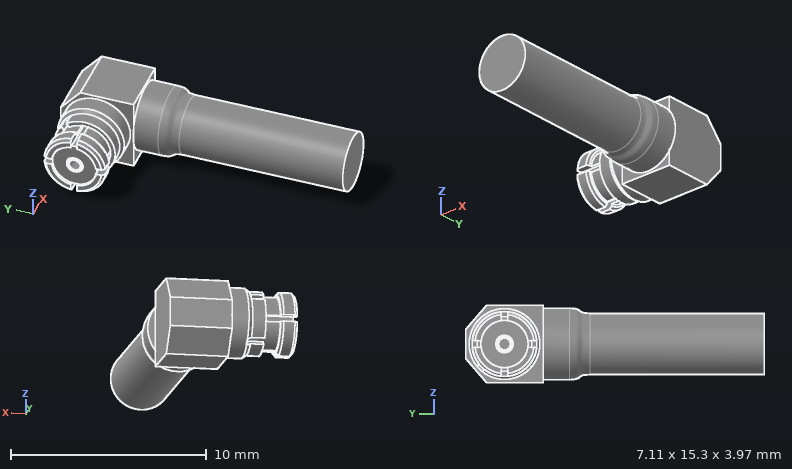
import cadquery as cq


block_start_x = 3.5
block_end_x = 6.71
block_size = 3.97
half_block = block_size / 2
block_bevel_y = 1.07
block_bevel_z = 1.24

overall_length_x = 7.11
overall_length_y = 15.26
ferrule_radius = 3.68 / 2
cable_radius = 3.15 / 2
cable_axis_x = overall_length_x - ferrule_radius
ferrule_length = 1.33
neck_down_length = 1.05
neck_down_pull = 0.7 * neck_down_length
cable_start_y = -half_block
cable_end_y = half_block - overall_length_y
ferrule_end_y = cable_start_y - ferrule_length
neck_down_end_y = ferrule_end_y - neck_down_length

flange_radius = 3.3 / 2
rim_radius = 3.33 / 2
sleeve_radius = 2.8 / 2
collar_radius = 3.62 / 2
bore_radius = 2.41 / 2
rim_chamfer = 0.15
rim_back_bevel = 0.14
rim_end_x = 0.87
flange_start_x = 1.66
flange_end_x = 2.35
collar_start_x = 2.58

slot_width = 0.34
slot_count = 4
slot_end_x = flange_end_x
notch_width = 0.38
upper_notch_angle = 45
lower_notch_angle = -45

insulator_start_x = 0.15
contact_hole_radius = 0.89 / 2
contact_radius = 0.76 / 2
contact_bore_radius = 0.61 / 2
contact_hole_depth = flange_start_x - insulator_start_x
contact_bore_depth = contact_hole_depth / 2


def x_cylinder(radius, start_x, end_x):
    """Solid cylinder on the plug axis."""
    return cq.Workplane("YZ").workplane(offset=start_x).circle(radius).extrude(end_x - start_x)


def radial_cutter(start_x, end_x, width, angle):
    """Box reaching outward from the plug axis, turned about the plug axis from +Y."""
    length = end_x - start_x
    cutter = cq.Workplane("XY").box(length, collar_radius, width, centered=(False, False, True))
    cutter = cutter.translate((start_x, 0, 0))
    return cutter.rotate((0, 0, 0), (1, 0, 0), angle)


def make_block():
    """Square elbow block with both edges of its +Y end bevelled."""
    outline = [
        (-half_block, -half_block),
        (half_block - block_bevel_y, -half_block),
        (half_block, block_bevel_z - half_block),
        (half_block, half_block - block_bevel_z),
        (half_block - block_bevel_y, half_block),
        (-half_block, half_block),
    ]
    profile = cq.Workplane("YZ").workplane(offset=block_start_x).polyline(outline).close()
    return profile.extrude(block_end_x - block_start_x)


def make_collar():
    """Hollow stepped collar with two notches, the lower one running on through the cone."""
    outline = [
        (flange_start_x, sleeve_radius),
        (flange_start_x, flange_radius),
        (flange_end_x, flange_radius),
        (collar_start_x, collar_radius),
        (block_start_x, collar_radius),
        (block_start_x, sleeve_radius),
    ]
    collar = cq.Workplane("XY").polyline(outline).close().revolve(360, (0, 0, 0), (1, 0, 0))
    for angle, end_x in ((upper_notch_angle, flange_end_x), (lower_notch_angle, collar_start_x)):
        collar = collar.cut(radial_cutter(flange_start_x, end_x, notch_width, angle))
    return collar


def make_housing():
    """Elbow block and plug collar in one piece."""
    return make_block().union(make_collar())


def make_cable():
    """Ferrule that necks down smoothly to the cable."""
    ferrule_edge_x = cable_axis_x + ferrule_radius
    cable_edge_x = cable_axis_x + cable_radius
    profile = (
        cq.Workplane("XY")
        .moveTo(cable_axis_x, cable_start_y)
        .lineTo(ferrule_edge_x, cable_start_y)
        .lineTo(ferrule_edge_x, ferrule_end_y)
        .bezier(
            [
                (ferrule_edge_x, ferrule_end_y - neck_down_pull),
                (cable_edge_x, neck_down_end_y + neck_down_pull),
                (cable_edge_x, neck_down_end_y),
            ],
            includeCurrent=True,
        )
        .lineTo(cable_edge_x, cable_end_y)
        .lineTo(cable_axis_x, cable_end_y)
        .close()
    )
    return profile.revolve(360, (cable_axis_x, 0, 0), (cable_axis_x, 1, 0))


def make_sleeve():
    """Spring sleeve seated in the collar, with a bevelled snap rim and lengthwise slots."""
    outline = [
        (0, bore_radius),
        (0, rim_radius - rim_chamfer),
        (rim_chamfer, rim_radius),
        (rim_end_x - rim_back_bevel, rim_radius),
        (rim_end_x, rim_radius - rim_back_bevel),
        (rim_end_x, sleeve_radius),
        (block_start_x, sleeve_radius),
        (block_start_x, bore_radius),
    ]
    sleeve = cq.Workplane("XY").polyline(outline).close().revolve(360, (0, 0, 0), (1, 0, 0))
    for index in range(slot_count):
        angle = index * 360 / slot_count
        sleeve = sleeve.cut(radial_cutter(0, slot_end_x, slot_width, angle))
    return sleeve


def make_insulator():
    """Plug insulator filling the sleeve bore, with a blind hole for the contact."""
    insulator = x_cylinder(bore_radius, insulator_start_x, block_start_x)
    hole_end_x = insulator_start_x + contact_hole_depth
    return insulator.cut(x_cylinder(contact_hole_radius, insulator_start_x, hole_end_x))


def make_contact():
    """Socket contact standing on the floor of the insulator hole."""
    contact = x_cylinder(contact_radius, insulator_start_x, insulator_start_x + contact_hole_depth)
    bore_end_x = insulator_start_x + contact_bore_depth
    return contact.cut(x_cylinder(contact_bore_radius, insulator_start_x, bore_end_x))


housing = make_housing()
cable = make_cable()
sleeve = make_sleeve()
insulator = make_insulator()
contact = make_contact()

result = cq.Compound.makeCompound([
    housing.val(),
    cable.val(),
    sleeve.val(),
    insulator.val(),
    contact.val(),
])